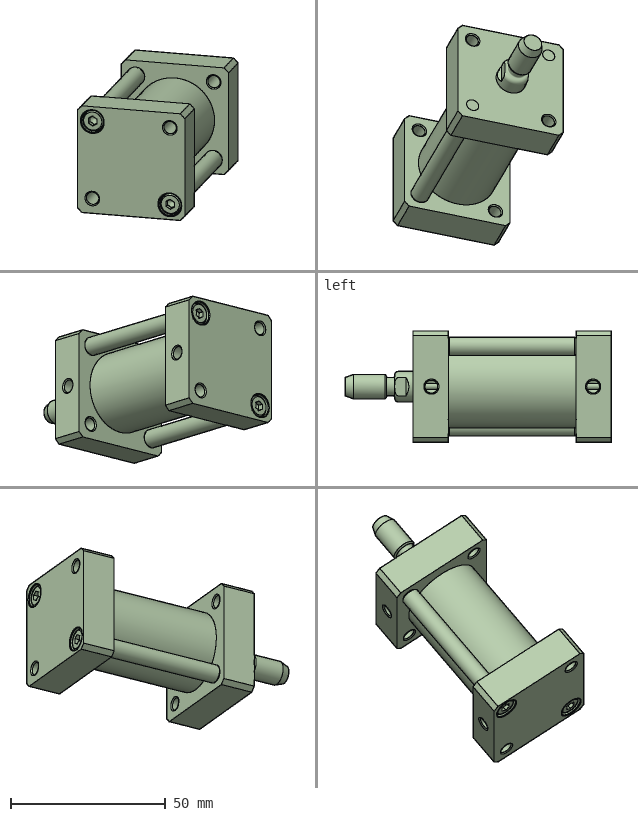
import cadquery as cq
import math


total_length = 86.0
cap_side = 36.0
cap_thickness = 11.4
rod_projection = 21.9
front_cap_end = total_length - rod_projection
front_cap_start = front_cap_end - cap_thickness
rear_cap_end = cap_thickness

cap_corner_chamfer = 1.55
bolt_offset = 13.0
hole_diameter = 4.1
hole_mouth_diameter = 4.9
counterbore_diameter = 7.5
counterbore_mouth_diameter = 8.0
counterbore_depth = 4.5

port_setback = 5.5
port_depth = 8.6
port_bar_depth = 6.9
port_bar_diameter = 2.0
drill_point_angle = 118.0
drill_cone_ratio = 1 / math.tan(math.radians(drill_point_angle / 2))

tube_outer_diameter = 26.6
tube_bore_diameter = 25.0

tie_rod_diameter = 6.0
tie_rod_end_chamfer = 0.4
screw_head_diameter = 7.0
screw_head_chamfer = 0.4
screw_head_recess = 0.5
hex_across_flats = 2.8
hex_depth = 1.7
hex_corner_diameter = hex_across_flats / math.cos(math.radians(30))

rod_diameter = 10.0
thread_diameter = 8.0
neck_diameter = 6.0
tip_diameter = 6.0
tip_length = 2.75
thread_end = 12.9
thread_end_chamfer = 0.5
neck_round = 0.35
shoulder = 16.0
shoulder_round = 1.3
wrench_flat_width = 8.0
wrench_flat_end = 19.6

tie_rod_positions = [(-bolt_offset, bolt_offset), (bolt_offset, -bolt_offset)]
open_hole_positions = [(bolt_offset, bolt_offset), (-bolt_offset, -bolt_offset)]


def cylinder_y(diameter, y_start, y_end, x=0.0, z=0.0):
    """Cylinder along Y between two stations."""
    base = cq.Plane(origin=(x, y_start, z), xDir=(1, 0, 0), normal=(0, 1, 0))
    return cq.Workplane(base).circle(diameter / 2).extrude(y_end - y_start)


def cone(origin, direction, start_diameter, end_diameter, height):
    """Cone or frustum growing from the origin along a direction."""
    base = cq.Vector(*origin)
    axis = cq.Vector(*direction)
    return cq.Workplane(cq.Solid.makeCone(start_diameter / 2, end_diameter / 2, height, base, axis))


def chamfered_hole(x, z, y_start, y_end):
    """Through hole with a 45 degree chamfer at both mouths."""
    chamfer = (hole_mouth_diameter - hole_diameter) / 2
    hole = cylinder_y(hole_diameter, y_start, y_end, x, z)
    for y, direction in ((y_start, 1), (y_end, -1)):
        mouth = cone((x, y, z), (0, direction, 0), hole_mouth_diameter, hole_diameter, chamfer)
        hole = hole.union(mouth)
    return hole


def port(y):
    """Port drilled from the -X side, with its chamfered mouth, conical bottom and the bar left across it."""
    chamfer = (hole_mouth_diameter - hole_diameter) / 2
    mouth_x = -cap_side / 2
    bottom_x = mouth_x + port_depth
    bore_plane = cq.Plane(origin=(mouth_x, y, 0), xDir=(0, 1, 0), normal=(1, 0, 0))
    bore = cq.Workplane(bore_plane).circle(hole_diameter / 2).extrude(port_depth)
    mouth = cone((mouth_x, y, 0), (1, 0, 0), hole_mouth_diameter, hole_diameter, chamfer)
    bottom = cone((bottom_x, y, 0), (1, 0, 0), hole_diameter, 0, hole_diameter / 2 * drill_cone_ratio)
    bar_reach = hole_diameter / 2
    bar = cylinder_y(port_bar_diameter, y - bar_reach, y + bar_reach, mouth_x + port_bar_depth)
    return bore.union(mouth).union(bottom).cut(bar)


def cap_block(y_start):
    """Square end cap with chamfered long corners."""
    block = cq.Workplane("XY").box(cap_side, cap_thickness, cap_side, centered=(True, False, True))
    return block.edges("|Y").chamfer(cap_corner_chamfer).translate((0, y_start, 0))


def make_rear_cap():
    cap = cap_block(0)
    for x, z in open_hole_positions:
        cap = cap.cut(chamfered_hole(x, z, 0, rear_cap_end))
    mouth_chamfer = (counterbore_mouth_diameter - counterbore_diameter) / 2
    for x, z in tie_rod_positions:
        cap = cap.cut(cylinder_y(hole_diameter, 0, rear_cap_end, x, z))
        cap = cap.cut(cylinder_y(counterbore_diameter, 0, counterbore_depth, x, z))
        mouth = cone((x, 0, z), (0, 1, 0), counterbore_mouth_diameter, counterbore_diameter, mouth_chamfer)
        cap = cap.cut(mouth)
    return cap.cut(port(rear_cap_end - port_setback))


def make_front_cap():
    cap = cap_block(front_cap_start)
    for x, z in open_hole_positions:
        cap = cap.cut(chamfered_hole(x, z, front_cap_start, front_cap_end))
    for x, z in tie_rod_positions:
        cap = cap.cut(cylinder_y(hole_diameter, front_cap_start, front_cap_end, x, z))
    cap = cap.cut(cylinder_y(rod_diameter, front_cap_start, front_cap_end))
    return cap.cut(port(front_cap_start + port_setback))


def make_tube():
    tube = cylinder_y(tube_outer_diameter, rear_cap_end, front_cap_start)
    return tube.cut(cylinder_y(tube_bore_diameter, rear_cap_end, front_cap_start))


def make_tie_rod(x, z):
    """Spacer between the caps, with a shank through both caps and a socket head at the rear."""
    spacer = cylinder_y(tie_rod_diameter, rear_cap_end, front_cap_start, x, z)
    spacer = spacer.faces("<Y or >Y").chamfer(tie_rod_end_chamfer)
    shank = cylinder_y(hole_diameter, counterbore_depth, front_cap_end, x, z)
    head = cylinder_y(screw_head_diameter, screw_head_recess, counterbore_depth, x, z)
    head = head.faces("<Y").chamfer(screw_head_chamfer)

    socket_bottom = screw_head_recess + hex_depth
    socket_plane = cq.Plane(origin=(x, screw_head_recess, z), xDir=(0, 0, 1), normal=(0, 1, 0))
    socket = cq.Workplane(socket_plane).polygon(6, hex_corner_diameter).extrude(hex_depth)
    cone_height = hex_corner_diameter / 2 * drill_cone_ratio
    socket_cone = cone((x, socket_bottom, z), (0, 1, 0), hex_corner_diameter, 0, cone_height)
    socket = socket.union(socket_cone.intersect(socket.translate((0, hex_depth, 0))))
    return spacer.union(shank).union(head).cut(socket)


def make_piston_rod():
    """Rod turned from one profile of (radius, y), then milled with two wrench flats."""
    tip_y = total_length
    neck_radius = neck_diameter / 2
    thread_radius = thread_diameter / 2
    relief_radius = thread_radius - thread_end_chamfer
    relief_y = tip_y - thread_end - thread_end_chamfer
    shoulder_y = tip_y - shoulder
    rod_radius = rod_diameter / 2
    arc_bulge = 1 - math.sqrt(0.5)
    neck_bulge = neck_round * arc_bulge
    shoulder_bulge = shoulder_round * arc_bulge
    round_end = neck_radius + neck_round
    profile = (
        cq.Workplane("XY")
        .moveTo(0, tip_y)
        .lineTo(tip_diameter / 2, tip_y)
        .lineTo(thread_radius, tip_y - tip_length)
        .lineTo(thread_radius, tip_y - thread_end)
        .lineTo(relief_radius, relief_y)
        .lineTo(round_end, relief_y)
        .threePointArc(
            (neck_radius + neck_bulge, relief_y - neck_bulge),
            (neck_radius, relief_y - neck_round),
        )
        .lineTo(neck_radius, shoulder_y + neck_round)
        .threePointArc((neck_radius + neck_bulge, shoulder_y + neck_bulge), (round_end, shoulder_y))
        .lineTo(rod_radius - shoulder_round, shoulder_y)
        .threePointArc(
            (rod_radius - shoulder_bulge, shoulder_y - shoulder_bulge),
            (rod_radius, shoulder_y - shoulder_round),
        )
        .lineTo(rod_radius, rear_cap_end)
        .lineTo(0, rear_cap_end)
        .close()
    )
    rod = profile.revolve(360, (0, 0, 0), (0, 1, 0))

    flat_x = wrench_flat_width / 2
    flat_y = tip_y - wrench_flat_end
    runout = rod_radius - flat_x
    for side in (-1, 1):
        flat_cut = (
            cq.Workplane("XY")
            .polyline([
                (side * flat_x, shoulder_y),
                (side * flat_x, flat_y),
                (side * rod_radius, flat_y - runout),
                (side * rod_radius, shoulder_y),
            ])
            .close()
            .extrude(rod_radius, both=True)
        )
        rod = rod.cut(flat_cut)
    return rod


rear_cap = make_rear_cap()
front_cap = make_front_cap()
tube = make_tube()
piston_rod = make_piston_rod()
tie_rods = [make_tie_rod(x, z) for x, z in tie_rod_positions]

result = cq.Compound.makeCompound([
    rear_cap.val(),
    front_cap.val(),
    tube.val(),
    piston_rod.val(),
    *[tie_rod.val() for tie_rod in tie_rods],
])